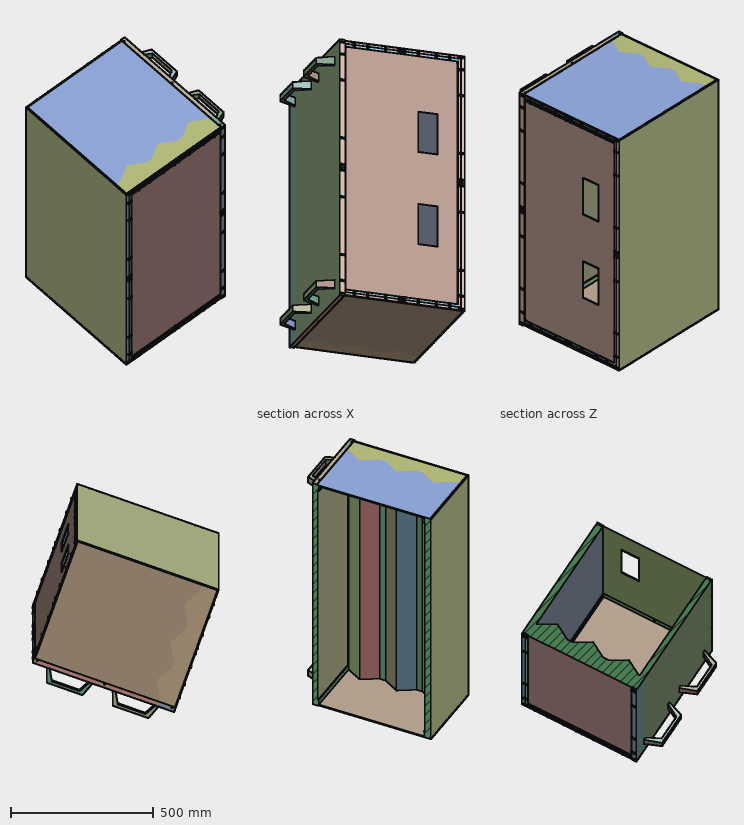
import cadquery as cq

total_height = 967.0
total_width = 534.0
total_depth = 527.0
skin = 4.0
rivet_height = 3.0
rivet_diameter = 6.0
handle_reach = 61.0

frame_width = total_width - 2 * rivet_height
frame_depth = total_depth - handle_reach - skin
frame_height = total_height - 2 * skin
back_y = frame_depth / 2
front_y = -back_y

bar_width = 21.0
outer_flange = 11.0
flange_step = 1.0
panel_recess = 3.0

side_wall = 6.0
wall = 22.0
floor = 5.0
lip_thickness = 3.0
lip_height = 19.0
groove_floor_x = 203.0
ridge_depth = 36.0
ridge_pitch = 145.0
ridge_half_base = 61.0
ridge_offsets = (-ridge_pitch, 0, ridge_pitch)

window_depth = 72.0
window_height = 152.0
window_y = -99.0
window_offset = 174.0

handle_offset_x = 123.0
handle_offset_z = 422.0
handle_base_half = 89.0
handle_top_half = 67.0
handle_inner_base_half = 79.0
handle_inner_top_half = 51.0
handle_grip = 11.0
handle_base_width = 30.0
handle_end_width = 23.0

rivet_row_insets = (3.0, 14.5)
rivet_offsets_z = (11.0, 111.0, 330.0, 427.0)
rivet_offsets_y = (11.0, 61.0, 128.0, 178.0)

pin_hole_diameter = 5.0
rail_hole_inset = 14.0
rail_hole_offset_x = 251.0
rail_hole_depth = 19.0

back_rail = 17.0
rail_step = 2.0


def centred_box(width, depth, height, x=0.0, y=0.0, z=0.0):
    return cq.Workplane("XY").box(width, depth, height).translate((x, y, z))


def case_body():
    """Frame block with its front skin, its top and bottom skins and its back rails."""
    body = centred_box(frame_width, frame_depth, frame_height)
    front = centred_box(frame_width, skin, frame_height, y=front_y - skin / 2)
    cover_height = total_height - 2 * rail_step
    covers = centred_box(frame_width - 2 * skin, frame_depth, cover_height)
    rails = centred_box(frame_width, back_rail, total_height, y=back_y - back_rail / 2)
    return body.union(front).union(covers).union(rails)


def side_recesses():
    """Stepped recesses that leave the frame bars standing around the two side panels."""
    cuts = cq.Workplane("XY")
    for inset, depth in ((outer_flange, flange_step), (bar_width, panel_recess)):
        recess_front = front_y + inset
        recess_back = back_y - bar_width
        for side in (-1, 1):
            cuts = cuts.union(
                centred_box(
                    2 * depth,
                    recess_back - recess_front,
                    frame_height - 2 * inset,
                    x=side * frame_width / 2,
                    y=(recess_front + recess_back) / 2,
                )
            )
    return cuts


def corrugated_prism(end_x, height):
    """Prism between the corrugated face and the plane x = end_x, over the whole frame depth."""
    points = [(end_x, front_y), (groove_floor_x, front_y)]
    for centre in ridge_offsets:
        points.append((groove_floor_x, centre - ridge_half_base))
        points.append((groove_floor_x - ridge_depth, centre))
        points.append((groove_floor_x, centre + ridge_half_base))
    points += [(groove_floor_x, back_y), (end_x, back_y)]
    return cq.Workplane("XY").polyline(points).close().extrude(height / 2, both=True)


def cavity():
    """Inner space, narrowed by lips along the front and back edges of floor and ceiling."""
    height = frame_height - 2 * floor
    depth = frame_depth - 2 * wall
    space = corrugated_prism(side_wall - frame_width / 2, height)
    between_walls = centred_box(frame_width, depth, height - 2 * lip_height)
    between_lips = centred_box(frame_width, depth - 2 * lip_thickness, height)
    return space.intersect(between_walls.union(between_lips))


def windows():
    cuts = cq.Workplane("XY")
    for z in (-window_offset, window_offset):
        cuts = cuts.union(
            centred_box(2 * side_wall, window_depth, window_height, -frame_width / 2, window_y, z)
        )
    return cuts


def handle():
    """One handle, centred on X and Z, rising from the back face."""
    bow = (
        cq.Workplane("XY")
        .polyline(
            [
                (-handle_base_half, 0),
                (-handle_top_half, handle_reach),
                (handle_top_half, handle_reach),
                (handle_base_half, 0),
                (handle_inner_base_half, 0),
                (handle_inner_top_half, handle_reach - handle_grip),
                (-handle_inner_top_half, handle_reach - handle_grip),
                (-handle_inner_base_half, 0),
            ]
        )
        .close()
        .extrude(handle_base_width / 2, both=True)
    )
    taper = (
        cq.Workplane("YZ")
        .polyline(
            [
                (0, -handle_base_width / 2),
                (handle_reach, -handle_end_width / 2),
                (handle_reach, handle_end_width / 2),
                (0, handle_base_width / 2),
            ]
        )
        .close()
        .extrude(handle_base_half, both=True)
    )
    return bow.intersect(taper).translate((0, back_y, 0))


def rivet_points():
    points = []
    for inset in rivet_row_insets:
        row_y = back_y - inset - rivet_diameter / 2
        row_z = frame_height / 2 - inset - rivet_diameter / 2
        for sign in (-1, 1):
            for mirror in (-1, 1):
                points += [(sign * row_y, mirror * z) for z in rivet_offsets_z]
                points += [(mirror * y, sign * row_z) for y in rivet_offsets_y]
    return points


def rivets():
    """Rivets reach from inside the bars to the full width on both sides."""
    embed = panel_recess
    length = rivet_height + embed
    one_side = (
        cq.Workplane("YZ", origin=(frame_width / 2 - embed, 0, 0))
        .pushPoints(rivet_points())
        .circle(rivet_diameter / 2)
        .extrude(length)
    )
    return one_side.union(one_side.mirror("YZ"))


def pin_holes():
    """Holes in both side frames, at the middle of each bar and at its ends."""
    points = []
    corner_z = frame_height / 2 - rivet_row_insets[0] - rivet_diameter / 2
    for inset in rivet_row_insets:
        hole_y = back_y - inset - rivet_diameter / 2
        hole_z = frame_height / 2 - inset - rivet_diameter / 2
        points += [(hole_y, 0), (-hole_y, 0), (0, hole_z), (0, -hole_z)]
        points += [(y, z) for y in (-hole_y, hole_y) for z in (-corner_z, corner_z)]
    one_side = (
        cq.Workplane("YZ", origin=(frame_width / 2 - side_wall, 0, 0))
        .pushPoints(points)
        .circle(pin_hole_diameter / 2)
        .extrude(side_wall)
    )
    return one_side.union(one_side.mirror("YZ"))


def rail_holes():
    """Blind holes in the top and bottom of the case, in the back rails."""
    hole_x = (-rail_hole_offset_x, 0, rail_hole_offset_x)
    top = (
        cq.Workplane("XY", origin=(0, back_y - rail_hole_inset, total_height / 2 - rail_hole_depth))
        .pushPoints([(x, 0) for x in hole_x])
        .circle(pin_hole_diameter / 2)
        .extrude(rail_hole_depth)
    )
    return top.union(top.mirror("XY"))


case = case_body()
corrugated_block = corrugated_prism(frame_width / 2, total_height).intersect(case)
for cut in (side_recesses(), cavity(), windows(), pin_holes(), rail_holes()):
    case = case.cut(cut)
    corrugated_block = corrugated_block.cut(cut)
for x in (-handle_offset_x, handle_offset_x):
    for z in (-handle_offset_z, handle_offset_z):
        case = case.union(handle().translate((x, 0, z)))
case = case.union(rivets())

result = case.union(corrugated_block, clean=False)